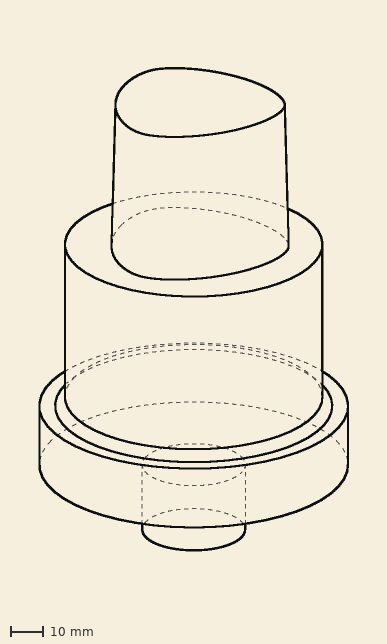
import cadquery as cq
import math

TOTAL_HEIGHT = 145.0
PIN_HEIGHT = 22.0
FLANGE_HEIGHT = 20.0
SHANK_HEIGHT = 48.0
BODY_HEIGHT = TOTAL_HEIGHT - PIN_HEIGHT - FLANGE_HEIGHT - SHANK_HEIGHT

PIN_DIAMETER = 32.0
FLANGE_DIAMETER = 96.0
BODY_DIAMETER = 80.0
COLLAR_SIZE = 3.0

SHANK_BASE_WIDTH = 55.1
SHANK_TAPER = 1 / 20
SHANK_TOP_WIDTH = SHANK_BASE_WIDTH - SHANK_TAPER * SHANK_HEIGHT
LOBE_ECCENTRICITY = 2.0
PROFILE_POINTS = 72

flange_bottom = PIN_HEIGHT
flange_top = flange_bottom + FLANGE_HEIGHT
body_top = flange_top + BODY_HEIGHT


def cylinder(diameter, height, bottom):
    return cq.Workplane("XY").workplane(offset=bottom).circle(diameter / 2).extrude(height)


def trilobe_point(angle, width):
    """Point of a constant-width curve with one lobe pointing toward -Y."""
    support = width / 2 + LOBE_ECCENTRICITY * math.sin(3 * angle)
    slope = 3 * LOBE_ECCENTRICITY * math.cos(3 * angle)
    x = support * math.cos(angle) - slope * math.sin(angle)
    y = support * math.sin(angle) + slope * math.cos(angle)
    return x, y


def trilobe_wire(width, height):
    points = []
    for i in range(PROFILE_POINTS):
        x, y = trilobe_point(2 * math.pi * i / PROFILE_POINTS, width)
        points.append(cq.Vector(x, y, height))
    return cq.Wire.assembleEdges([cq.Edge.makeSpline(points, periodic=True)])


def tapered_shank():
    base = trilobe_wire(SHANK_BASE_WIDTH, body_top)
    tip = trilobe_wire(SHANK_TOP_WIDTH, TOTAL_HEIGHT)
    return cq.Workplane(cq.Solid.makeLoft([base, tip], True))


def conical_collar():
    top_radius = BODY_DIAMETER / 2
    cone = cq.Solid.makeCone(
        top_radius + COLLAR_SIZE, top_radius, COLLAR_SIZE, pnt=cq.Vector(0, 0, flange_top)
    )
    return cq.Workplane(cone)


pin = cylinder(PIN_DIAMETER, PIN_HEIGHT, 0)
flange = cylinder(FLANGE_DIAMETER, FLANGE_HEIGHT, flange_bottom)
body = cylinder(BODY_DIAMETER, BODY_HEIGHT, flange_top)

result = pin.union(flange).union(body).union(conical_collar()).union(tapered_shank())